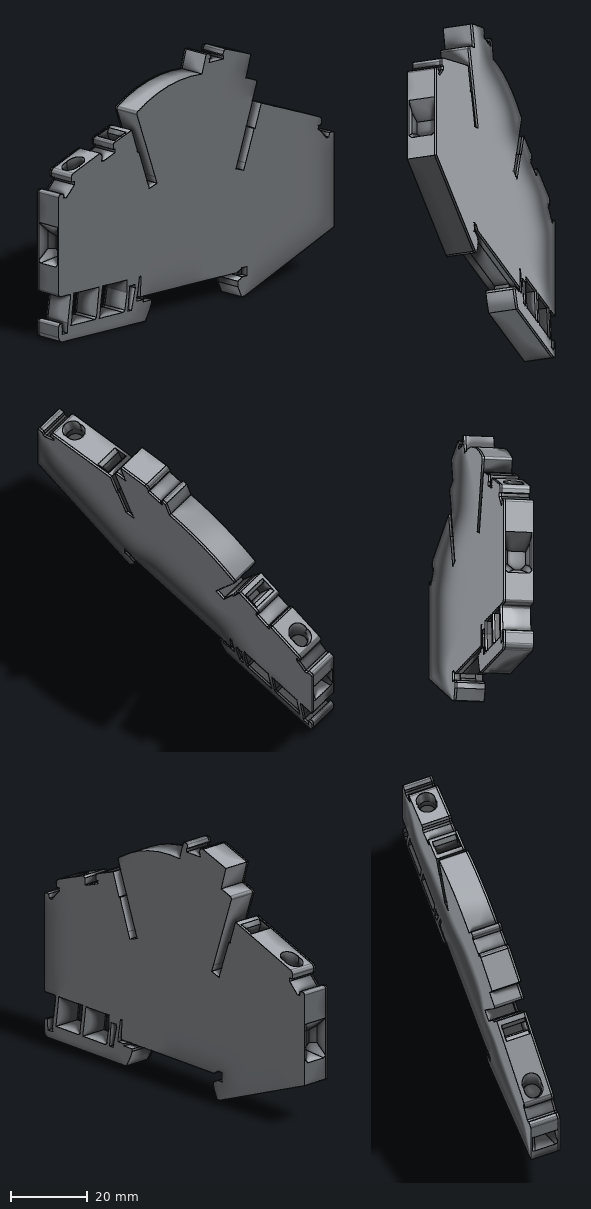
import cadquery as cq
import math


LENGTH = 100.0
WIDTH = 8.1
HEIGHT = 68.0
COVER_THICKNESS = 0.6
HALF_LENGTH = LENGTH / 2

SLOPE = 20.0
SHOULDER_LIFT = 1.5
BODY_BOTTOM = 12.4
RAIL_TOP = 6.9
LEDGE = 5.4
FOOT_FLOOR = 3.9
NOTCH_TOP = 7.9
NOTCH_RIM = 15.1
NOTCH_RAMP = 16.6
NOTCH_END = 18.3

SLOT_FLOOR_INNER = (15.0, 36.9)
SLOT_FLOOR_OUTER = (17.8, 36.0)
SLOT_EXTRA_DEPTH = 2.0
SHOULDER_CREST = (23.5, 51.1)
SHOULDER_TOE = (45.5, 43.1)
END_LIP = (HALF_LENGTH, 38.6)
TOE_RADIUS = 1.2
LIP_RADIUS = 0.7
WALL_RADIUS = 0.6

HEAD_CORNER_LEFT = (22.1, 57.5)
HEAD_CORNER_RIGHT = (-21.8, 56.9)
HEAD_RADIUS = 0.7
HEAD_PEAK = (10.1, HEIGHT)
HEAD_LIP = (4.8, HEIGHT)
GROOVE_CREST = (-30.1, 50.3)
POST_ROOT = (-45.6, BODY_BOTTOM)
EDGE_RADIUS = 0.5
FOOT_RADIUS = 1.5
FOOT_LIP = 5.1
FOOT_LIP_RADIUS = 0.8

SCREW_X = 4.5
SCREW_RADIUS = 2.5
UPRIGHT_BORE_AT = 40.6
TILTED_BORE_AT = 42.0
UPRIGHT_BORE_DEPTH = 8.0
TILTED_BORE_DEPTH = 4.0
BORE_OVERRUN = 4.0

POCKET_X = (0.9, 7.3)
POCKET_AT = 26.9
POCKET_MOUTH = 4.4
POCKET_CHAMFER = 1.0
POCKET_DEPTH = 12.0
POCKET_OVERRUN = 0.5

FUNNEL_DEPTH = 4.8
FUNNEL_FAR_SIDE = 7.6
FUNNEL_MOUTH = [(-2.6, 29.7), (8.5, 29.7), (8.5, 20.4), (6.9, 18.8), (1.3, 18.8), (-2.6, 22.0)]
FUNNEL_THROAT = [(2.1, 25.5), (6.9, 25.5), (6.9, 22.0), (5.5, 20.6), (3.8, 20.6), (2.1, 22.0)]

CONTACT_X = (2.0, 6.0)
CONTACT_TOP = 8.9
CONTACT_HOOK_INNER = 17.4
CONTACT_HOOK_TOE = 6.2
CONTACT_LEG = (-17.1, -18.9)

SIDES = [(1, 0.0), (-1, SHOULDER_LIFT)]


def prism(outline, x_start, x_end):
    """Extrude a closed outline of YZ points from x_start to x_end."""
    plane = cq.Workplane("YZ", origin=(x_start, 0, 0))
    return plane.polyline(outline).close().extrude(x_end - x_start)


def shoulder_height(distance, lift):
    """Height of the sloped shoulder top at a distance from the middle."""
    return SHOULDER_CREST[1] + lift - (distance - SHOULDER_CREST[0]) * math.tan(math.radians(SLOPE))


def end_points(sign, lift):
    """End wall lip, catch groove and toe, from the wall inwards."""
    points = [
        END_LIP, (48.3, 38.4), (48.0, 37.3), (47.3, 37.2),
        (44.3, 40.2), (44.3, 41.1), (45.3, 41.1), SHOULDER_TOE,
    ]
    return [(sign * y, z + lift) for y, z in points]


def slot_points(sign, lift):
    """Shoulder crest and the stepped slot between shoulder and head."""
    points = [SHOULDER_CREST, (21.3, 44.7), (20.9, 44.7), SLOT_FLOOR_OUTER, SLOT_FLOOR_INNER]
    return [(sign * y, z + lift) for y, z in points]


MARKER_GROOVE = [
    (-35.0, 48.5), (-34.4, 48.0), (-34.3, 46.2), (-33.6, 46.2),
    (-29.5, 47.7), (-29.5, 48.6), (-30.1, 48.6), GROOVE_CREST,
]

HEAD_STEPS = [
    HEAD_CORNER_LEFT, (18.0, 58.9), (19.8, 65.0), (11.0, HEIGHT), HEAD_PEAK,
    (9.5, 66.8), (9.8, 66.3), (9.8, 65.6), (4.7, 65.6), (4.7, 66.6), (5.3, 66.7),
    HEAD_LIP, (3.5, HEIGHT), (2.0, 63.0),
]
HEAD_ARC_MIDDLE = (-13.0, 61.2)

FOOT_RIGHT = [
    (-HALF_LENGTH, BODY_BOTTOM), POST_ROOT, (-46.7, 4.8), (-46.8, 2.1), (-48.6, 2.1),
    (-48.8, FOOT_LIP), (-HALF_LENGTH, FOOT_LIP), (-HALF_LENGTH, 0.0), (-18.6, 0.0),
]
FOOT_ARC_MIDDLE = (-17.1, 2.5)
RAIL_SIDE = [
    (-16.2, 4.7), (-16.2, LEDGE), (-19.3, LEDGE), (-19.3, 6.0), (-21.6, 6.0), (-21.6, 7.1),
    (-20.7, BODY_BOTTOM), (-20.1, BODY_BOTTOM), (-20.4, RAIL_TOP), (NOTCH_RIM, RAIL_TOP),
    (NOTCH_RAMP, NOTCH_TOP), (NOTCH_END, NOTCH_TOP), (NOTCH_END, LEDGE), (NOTCH_RAMP, LEDGE),
    (15.0, 4.5), (15.0, 3.0), (16.4, 0.0), (17.4, 0.0), (HALF_LENGTH, 12.7),
]

FOOT_WINDOWS = [
    [(-22.2, 9.7), (-22.4, 10.6), (-24.3, 10.6), (-24.9, FOOT_FLOOR), (-23.6, FOOT_FLOOR)],
    [
        (-25.2, BODY_BOTTOM), (-34.0, BODY_BOTTOM), (-35.2, FOOT_FLOOR),
        (-26.6, FOOT_FLOOR), (-26.0, 4.4), (-25.2, 9.0),
    ],
    [(-35.3, BODY_BOTTOM), (-44.4, BODY_BOTTOM), (-45.5, FOOT_FLOOR), (-36.9, FOOT_FLOOR), (-36.3, 4.4)],
]


def full_block():
    """Block with the complete outline and the foot windows, over the whole width."""
    left = end_points(1, 0.0) + slot_points(1, 0.0) + HEAD_STEPS
    right = (slot_points(-1, SHOULDER_LIFT)[::-1] + MARKER_GROOVE[::-1]
             + end_points(-1, SHOULDER_LIFT)[::-1] + FOOT_RIGHT)
    block = (
        cq.Workplane("YZ")
        .polyline(left)
        .threePointArc(HEAD_ARC_MIDDLE, HEAD_CORNER_RIGHT)
        .polyline(right, includeCurrent=True)
        .threePointArc(FOOT_ARC_MIDDLE, RAIL_SIDE[0])
        .polyline(RAIL_SIDE[1:], includeCurrent=True)
        .close()
        .extrude(WIDTH)
    )
    rounded = [
        (SHOULDER_TOE, TOE_RADIUS),
        ((-SHOULDER_TOE[0], SHOULDER_TOE[1] + SHOULDER_LIFT), TOE_RADIUS),
        (HEAD_CORNER_LEFT, HEAD_RADIUS),
        (HEAD_CORNER_RIGHT, HEAD_RADIUS),
        (HEAD_PEAK, EDGE_RADIUS),
        (HEAD_LIP, EDGE_RADIUS),
        (GROOVE_CREST, EDGE_RADIUS),
        (POST_ROOT, EDGE_RADIUS),
        (END_LIP, LIP_RADIUS),
        ((-END_LIP[0], END_LIP[1] + SHOULDER_LIFT), LIP_RADIUS),
        ((-HALF_LENGTH, BODY_BOTTOM), WALL_RADIUS),
        ((-HALF_LENGTH, FOOT_LIP), FOOT_LIP_RADIUS),
        ((-HALF_LENGTH, 0.0), FOOT_RADIUS),
    ]
    for (y, z), radius in rounded:
        block = block.edges(cq.selectors.NearestToPointSelector((WIDTH / 2, y, z))).fillet(radius)
    for window in FOOT_WINDOWS:
        block = block.cut(prism(window, 0, WIDTH))
    return block


def slab(x_start, x_end):
    """Slice of space between two X positions, larger than the block."""
    return cq.Workplane("XY").box(
        x_end - x_start, 2 * LENGTH, 2 * LENGTH, centered=(False, True, True)
    ).translate((x_start, 0, 0))


def screw_hole(sign, lift):
    """Upright bore joined by a bore square to the shoulder top."""
    top = shoulder_height(UPRIGHT_BORE_AT, lift)
    upright = cq.Solid.makeCylinder(
        SCREW_RADIUS, UPRIGHT_BORE_DEPTH + BORE_OVERRUN,
        cq.Vector(SCREW_X, sign * UPRIGHT_BORE_AT, top - UPRIGHT_BORE_DEPTH), cq.Vector(0, 0, 1))
    normal = cq.Vector(0, sign * math.sin(math.radians(SLOPE)), math.cos(math.radians(SLOPE)))
    mouth = cq.Vector(SCREW_X, sign * TILTED_BORE_AT, shoulder_height(TILTED_BORE_AT, lift))
    tilted = cq.Solid.makeCylinder(
        SCREW_RADIUS, TILTED_BORE_DEPTH + BORE_OVERRUN, mouth - normal * TILTED_BORE_DEPTH, normal)
    return cq.Workplane(upright).union(cq.Workplane(tilted))


def jumper_pocket(sign, lift):
    """Chamfered rectangular pocket square to the shoulder top."""
    half_mouth = POCKET_MOUTH / 2
    half_throat = half_mouth - POCKET_CHAMFER
    profile = [
        (-half_mouth, 0), (-half_throat, -POCKET_CHAMFER), (-half_throat, -POCKET_DEPTH),
        (half_throat, -POCKET_DEPTH), (half_throat, -POCKET_CHAMFER), (half_mouth, 0),
        (half_mouth, POCKET_OVERRUN), (-half_mouth, POCKET_OVERRUN),
    ]
    pocket = prism(profile, *POCKET_X).rotate((0, 0, 0), (1, 0, 0), -sign * SLOPE)
    return pocket.translate((0, sign * POCKET_AT, shoulder_height(POCKET_AT, lift)))


def wire_funnel(sign, lift):
    """Funnel that narrows from the end wall to its flat inner end."""
    wires = []
    for outline, distance in [(FUNNEL_MOUTH, HALF_LENGTH), (FUNNEL_THROAT, HALF_LENGTH - FUNNEL_DEPTH)]:
        corners = [cq.Vector(x, sign * distance, z + lift) for x, z in outline]
        wires.append(cq.Wire.makePolygon(corners, close=True))
    funnel = cq.Workplane(cq.Solid.makeLoft(wires, True))
    return funnel.intersect(slab(COVER_THICKNESS, FUNNEL_FAR_SIDE))


def slot_extension(sign, lift):
    """Extra depth of the slot beside the head, behind the cover."""
    shift_y = -SLOT_EXTRA_DEPTH * math.sin(math.radians(SLOPE))
    shift_z = -SLOT_EXTRA_DEPTH * math.cos(math.radians(SLOPE))
    floor = [SLOT_FLOOR_OUTER, SLOT_FLOOR_INNER]
    deeper = [(y + shift_y, z + shift_z) for y, z in reversed(floor)]
    outline = [(sign * y, z + lift) for y, z in floor + deeper]
    return prism(outline, COVER_THICKNESS, WIDTH)


def make_contact():
    """Rail contact: a bar with a hook at one end and a leg at the other."""
    outline = [
        (NOTCH_END, CONTACT_TOP), (NOTCH_END, LEDGE), (NOTCH_RAMP, LEDGE),
        (CONTACT_HOOK_INNER, CONTACT_HOOK_TOE), (CONTACT_HOOK_INNER, NOTCH_TOP),
        (NOTCH_RAMP, NOTCH_TOP), (NOTCH_RIM, RAIL_TOP),
        (CONTACT_LEG[0], RAIL_TOP), (CONTACT_LEG[0], LEDGE), (CONTACT_LEG[1], LEDGE),
        (CONTACT_LEG[1], CONTACT_TOP),
    ]
    return prism(outline, *CONTACT_X)


def make_cover(block):
    """Flat side plate with the full outline."""
    return block.intersect(slab(0, COVER_THICKNESS))


def make_housing(block, contact):
    """Main body with its openings and the recess for the contact."""
    housing = block.intersect(slab(COVER_THICKNESS, WIDTH))
    for sign, lift in SIDES:
        housing = housing.cut(screw_hole(sign, lift))
        housing = housing.cut(jumper_pocket(sign, lift))
        housing = housing.cut(slot_extension(sign, lift))
        housing = housing.cut(wire_funnel(sign, lift))
    return housing.cut(contact)


block = full_block()
contact = make_contact()
cover = make_cover(block)
housing = make_housing(block, contact)

result = cq.Compound.makeCompound([housing.val(), cover.val(), contact.val()])